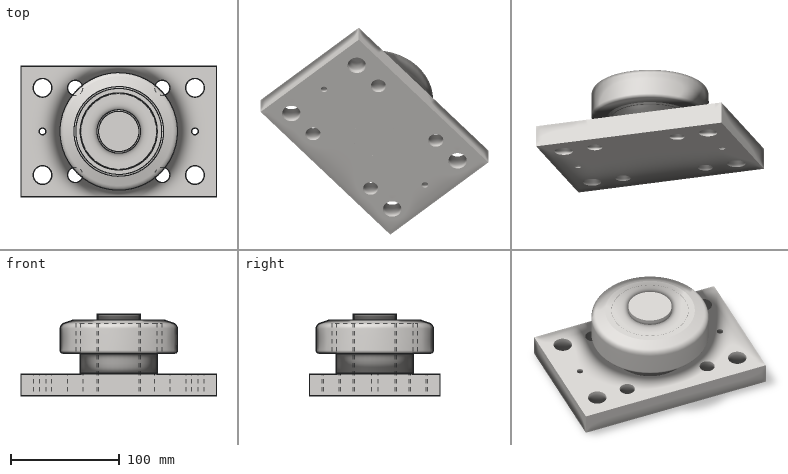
import cadquery as cq
import math

plate_length = 180.0
plate_width = 120.0
plate_thickness = 20.0
edge_margin = 20.0
corner_hole_diameter = 17.0
inner_hole_diameter = 13.9
inner_hole_pitch = 80.0
dowel_hole_diameter = 6.0

roller_bottom = 39.0
roller_top = 69.8
pin_top = 75.0

roller_diameter = 108.0
rim_crown = 0.09
roller_land_diameter = 82.5
roller_bore_diameter = 79.0
shoulder_radius = 5.4
shoulder_start = 61.5
bottom_fillet = 2.5

hub_diameter = 71.0
hub_chamfer = 0.81
cover_diameter = 70.5
seal_bore_diameter = 71.0
seal_thickness = 3.6
bush_diameter = 40.0
pin_diameter = 37.0


def cylinder(diameter, bottom, top):
    """Upright cylinder on the bearing axis."""
    return cq.Workplane("XY").workplane(offset=bottom).circle(diameter / 2).extrude(top - bottom)


def sleeve(outer_diameter, bore_diameter, bottom, top):
    """Upright ring on the bearing axis."""
    return cylinder(outer_diameter, bottom, top).cut(cylinder(bore_diameter, bottom, top))


def rectangle_corners(half_x, half_y):
    """Four corners of a rectangle centred on the bearing axis."""
    return [(sx * half_x, sy * half_y) for sx in (-1, 1) for sy in (-1, 1)]


def make_plate():
    """Rectangular plate with through holes for screws and dowels, and a bore for the bush."""
    corner_x = plate_length / 2 - edge_margin
    corner_y = plate_width / 2 - edge_margin
    corner_holes = rectangle_corners(corner_x, corner_y)
    inner_holes = rectangle_corners(inner_hole_pitch / 2, inner_hole_pitch / 2)
    return (
        cq.Workplane("XY")
        .box(plate_length, plate_width, plate_thickness, centered=(True, True, False))
        .faces(">Z").workplane(origin=(0, 0, plate_thickness))
        .pushPoints(corner_holes)
        .hole(corner_hole_diameter)
        .pushPoints(inner_holes)
        .hole(inner_hole_diameter)
        .pushPoints([(-corner_x, 0), (corner_x, 0)])
        .hole(dowel_hole_diameter)
        .pushPoints([(0, 0)])
        .hole(bush_diameter)
    )


def make_roller():
    """Revolved roller: filleted bottom, crowned rim, rounded shoulder and conical top."""
    crown = roller_diameter / 2
    rim = crown - rim_crown
    rim_bottom = roller_bottom + bottom_fillet
    land = roller_land_diameter / 2
    bore = roller_bore_diameter / 2

    centre_x = rim - shoulder_radius
    land_dx = land - centre_x
    land_dz = roller_top - shoulder_start
    land_distance = math.hypot(land_dx, land_dz)
    tangent_angle = math.atan2(land_dz, land_dx) - math.acos(shoulder_radius / land_distance)

    def shoulder_point(angle):
        return (
            centre_x + shoulder_radius * math.cos(angle),
            shoulder_start + shoulder_radius * math.sin(angle),
        )

    return (
        cq.Workplane("XZ")
        .moveTo(bore, roller_bottom)
        .lineTo(rim - bottom_fillet, roller_bottom)
        .radiusArc((rim, rim_bottom), -bottom_fillet)
        .threePointArc((crown, (rim_bottom + shoulder_start) / 2), (rim, shoulder_start))
        .threePointArc(shoulder_point(tangent_angle / 2), shoulder_point(tangent_angle))
        .lineTo(land, roller_top)
        .lineTo(bore, roller_top)
        .close()
        .revolve(360, (0, 0, 0), (0, 1, 0))
    )


def make_hub():
    """Sleeve between the plate and the cover, with chamfered outer edges."""
    hub = cylinder(hub_diameter, plate_thickness, roller_bottom).edges().chamfer(hub_chamfer)
    return hub.cut(cylinder(bush_diameter, plate_thickness, roller_bottom))


plate = make_plate()
hub = make_hub()
roller = make_roller()
seal_ring = sleeve(roller_bore_diameter, seal_bore_diameter, roller_top - seal_thickness, roller_top)
cover = sleeve(cover_diameter, bush_diameter, roller_bottom, roller_top)
bush = sleeve(bush_diameter, pin_diameter, 0, pin_top)
pin = cylinder(pin_diameter, 0, pin_top)

result = cq.Compound.makeCompound([
    plate.val(),
    hub.val(),
    roller.val(),
    seal_ring.val(),
    cover.val(),
    bush.val(),
    pin.val(),
])